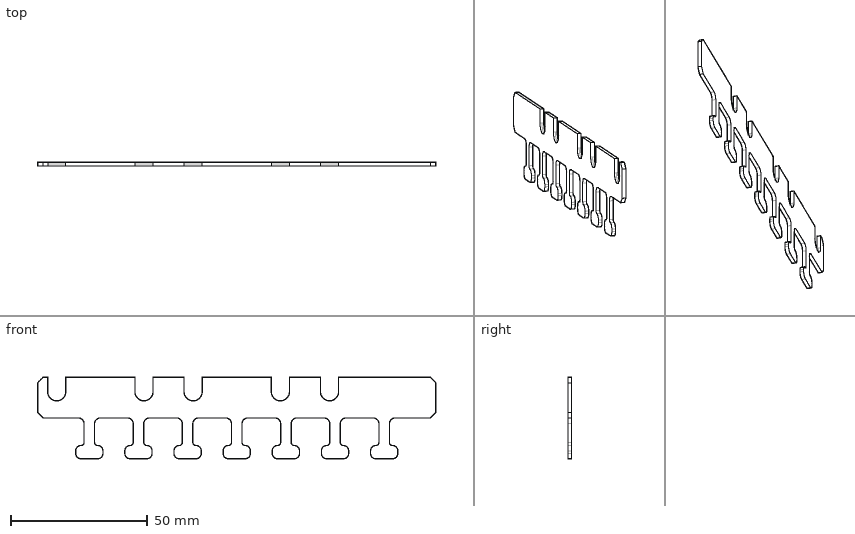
import cadquery as cq

length = 146.0
thickness = 1.5
total_height = 30.0

strip_height = total_height / 2
corner_chamfer = 2.0

tab_count = 7
tab_row_span = 108.0
tab_pitch = tab_row_span / (tab_count - 1)
tab_drop = total_height - strip_height
stem_width = 4.0
head_width = 10.1
head_height = 5.0
head_corner_radius = 2.0
stem_root_fillet = 2.0
head_neck_fillet = (head_width - stem_width) / 2 - head_corner_radius

slot_width = 6.5
slot_depth = 8.6
slot_group_gap = 32.0
inner_slot_offset = slot_group_gap / 2
outer_slot_offset = inner_slot_offset + tab_pitch
end_slot_offset = outer_slot_offset + slot_group_gap
slot_positions = [
    -end_slot_offset,
    -outer_slot_offset,
    -inner_slot_offset,
    inner_slot_offset,
    outer_slot_offset,
]


def plate_block(width, height, center_x, bottom_z):
    """Rectangular block of plate thickness standing on bottom_z."""
    return cq.Workplane("XY").box(width, thickness, height, centered=(True, True, False)).translate(
        (center_x, 0, bottom_z)
    )


def make_strip():
    return plate_block(length, strip_height, 0, 0).edges("|Y").chamfer(corner_chamfer)


def make_slot(center_x):
    """Cutter for a slot open at the top with a full-round bottom."""
    radius = slot_width / 2
    arc_center_z = strip_height - slot_depth + radius
    straight = plate_block(slot_width, strip_height - arc_center_z, center_x, arc_center_z)
    round_bottom = (
        cq.Workplane("XZ")
        .center(center_x, arc_center_z)
        .circle(radius)
        .extrude(thickness / 2, both=True)
    )
    return straight.union(round_bottom)


def make_tab(center_x):
    """T-shaped tab: a stem filleted into the strip above and into a rounded head below."""
    half_stem = stem_width / 2
    half_flare = half_stem + stem_root_fillet
    half_head = head_width / 2
    half_flat = half_head - head_corner_radius
    head_top = head_height - tab_drop
    neck_top = head_top + head_neck_fillet
    upper_corner_z = head_top - head_corner_radius
    lower_corner_z = head_corner_radius - tab_drop
    outline = (
        cq.Workplane("XZ")
        .center(center_x, 0)
        .moveTo(-half_flare, 0)
        .radiusArc((-half_stem, -stem_root_fillet), stem_root_fillet)
        .lineTo(-half_stem, neck_top)
        .radiusArc((-half_flat, head_top), head_neck_fillet)
        .radiusArc((-half_head, upper_corner_z), -head_corner_radius)
        .lineTo(-half_head, lower_corner_z)
        .radiusArc((-half_flat, -tab_drop), -head_corner_radius)
        .lineTo(half_flat, -tab_drop)
        .radiusArc((half_head, lower_corner_z), -head_corner_radius)
        .lineTo(half_head, upper_corner_z)
        .radiusArc((half_flat, head_top), -head_corner_radius)
        .radiusArc((half_stem, neck_top), head_neck_fillet)
        .lineTo(half_stem, -stem_root_fillet)
        .radiusArc((half_flare, 0), stem_root_fillet)
        .close()
    )
    return outline.extrude(thickness / 2, both=True)


result = make_strip()
for slot_x in slot_positions:
    result = result.cut(make_slot(slot_x))
for index in range(tab_count):
    tab_x = (index - (tab_count - 1) / 2) * tab_pitch
    result = result.union(make_tab(tab_x))